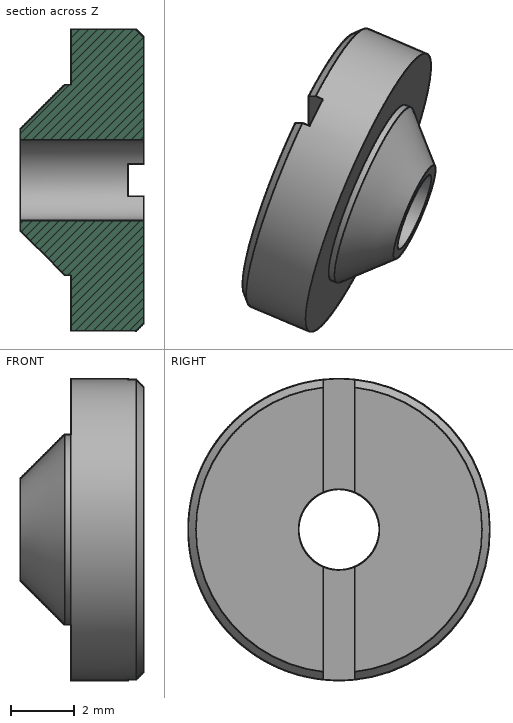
import cadquery as cq

disc_diameter = 9.5
disc_thickness = 2.3
rim_chamfer = 0.25
collar_diameter = 6.0
collar_length = 0.2
cone_length = 1.4
bore_diameter = 2.53
slot_width = 1.0
slot_depth = 0.5

disc_radius = disc_diameter / 2
collar_radius = collar_diameter / 2
tip_radius = collar_radius - cone_length

collar_start = cone_length
disc_start = collar_start + collar_length
back_face = disc_start + disc_thickness


def turned_body():
    """Cone, collar and chamfered disc, revolved about X."""
    half_profile = (
        cq.Workplane("XY")
        .moveTo(0, 0)
        .lineTo(0, tip_radius)
        .lineTo(collar_start, collar_radius)
        .lineTo(disc_start, collar_radius)
        .lineTo(disc_start, disc_radius)
        .lineTo(back_face - rim_chamfer, disc_radius)
        .lineTo(back_face, disc_radius - rim_chamfer)
        .lineTo(back_face, 0)
        .close()
    )
    return half_profile.revolve(360, (0, 0, 0), (1, 0, 0))


def through_bore():
    """Cylinder along X that opens the full length of the part."""
    return cq.Workplane("YZ").circle(bore_diameter / 2).extrude(back_face)


def driver_slot():
    """Straight slot across the back face, running along Z."""
    slot = cq.Workplane("XY").box(slot_depth, slot_width, disc_diameter)
    return slot.translate((back_face - slot_depth / 2, 0, 0))


result = turned_body().cut(through_bore()).cut(driver_slot())